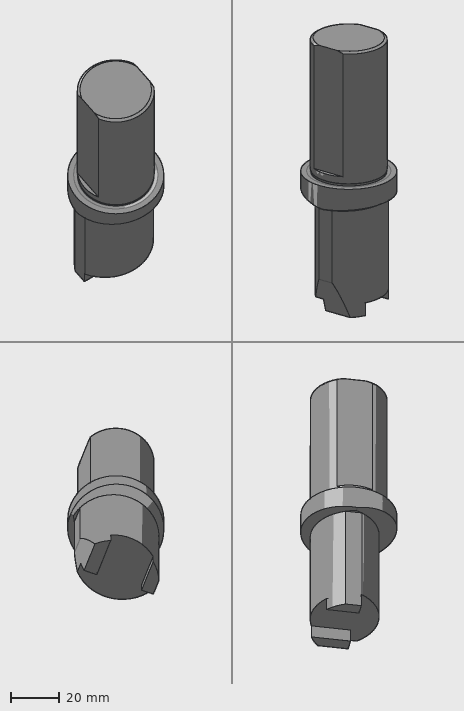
import cadquery as cq
import math

total_length = 119.0
collar_diameter = 40.0
collar_bottom = 48.0
collar_top = 59.0

shank_diameter = 32.0
shank_radius = shank_diameter / 2
flat_distance = 28.2
flats_bottom = 63.0
end_chamfer_width = 1.2
end_chamfer_height = 0.77

relief_depth = 0.2
relief_height = 0.8
relief_outer_radius = 17.5

body_left = -shank_radius
body_right = 12.5
left_arc_radius = 19.0
right_arc_radius = 20.2
body_width = 35.0
underside_angle = 30.0

notch_depth = 5.7
slot_back = 7.6
slot_front = -12.3
leg_right = 2.1
relief_slope_height = 15.5
relief_slope_width = 4.3

left_arc_center = body_left + left_arc_radius
right_arc_center = body_right - right_arc_radius


def cylinder(radius, bottom, top, center_x=0.0):
    """Upright cylinder between two heights."""
    base = cq.Workplane("XY", origin=(center_x, 0, bottom))
    return base.circle(radius).extrude(top - bottom)


def box(x_range, y_range, z_range):
    """Block given by its limits along each axis."""
    ranges = (x_range, y_range, z_range)
    size = [high - low for low, high in ranges]
    low_corner = [low for low, high in ranges]
    return cq.Workplane("XY").box(*size, centered=False).translate(tuple(low_corner))


def underside_cone(center_x, base_radius):
    """Cone flaring upward from one arc of the body to form the collar underside."""
    height = collar_top - collar_bottom
    top_radius = base_radius + height / math.tan(math.radians(underside_angle))
    profile = [(0, collar_bottom), (base_radius, collar_bottom), (top_radius, collar_top), (0, collar_top)]
    cone = cq.Workplane("XZ").polyline(profile).close().revolve(360, (0, 0), (0, 1))
    return cone.translate((center_x, 0, 0))


def make_shank():
    profile = [
        (0, collar_top),
        (shank_radius, collar_top),
        (shank_radius, total_length - end_chamfer_height),
        (shank_radius - end_chamfer_width, total_length),
        (0, total_length),
    ]
    shank = cq.Workplane("XZ").polyline(profile).close().revolve(360, (0, 0), (0, 1))
    half_flat = flat_distance / 2
    for y_range in ((half_flat, shank_radius), (-shank_radius, -half_flat)):
        shank = shank.cut(box((-shank_radius, shank_radius), y_range, (flats_bottom, total_length)))
    return shank


def make_collar():
    collar = cylinder(collar_diameter / 2, collar_bottom, collar_top)
    collar = collar.intersect(underside_cone(left_arc_center, left_arc_radius))
    return collar.intersect(underside_cone(right_arc_center, right_arc_radius))


def make_relief_groove():
    groove_radius = shank_radius - relief_depth
    profile = [
        (groove_radius, collar_top - relief_depth),
        (groove_radius, collar_top + relief_height - relief_depth),
        (shank_radius, collar_top + relief_height),
        (shank_radius, collar_top),
        (relief_outer_radius, collar_top),
        (shank_radius, collar_top - relief_depth),
    ]
    return cq.Workplane("XZ").polyline(profile).close().revolve(360, (0, 0), (0, 1))


def make_body():
    left_arc = cylinder(left_arc_radius, 0, collar_bottom, left_arc_center)
    right_arc = cylinder(right_arc_radius, 0, collar_bottom, right_arc_center)
    half_width = body_width / 2
    width_limit = box((body_left, body_right), (-half_width, half_width), (0, collar_bottom))
    body = left_arc.intersect(right_arc).intersect(width_limit)

    slot = box((body_left, body_right), (slot_front, slot_back), (0, notch_depth))
    step = box((leg_right, body_right), (-half_width, half_width), (0, notch_depth))

    wedge = (
        cq.Workplane("YZ", origin=(body_left, 0, 0))
        .moveTo(half_width - relief_slope_width, 0)
        .lineTo(half_width, 0)
        .lineTo(half_width, relief_slope_height)
        .close()
        .extrude(body_right - body_left)
    )
    return body.cut(slot).cut(step).cut(wedge)


result = make_shank().union(make_collar()).union(make_body()).cut(make_relief_groove())